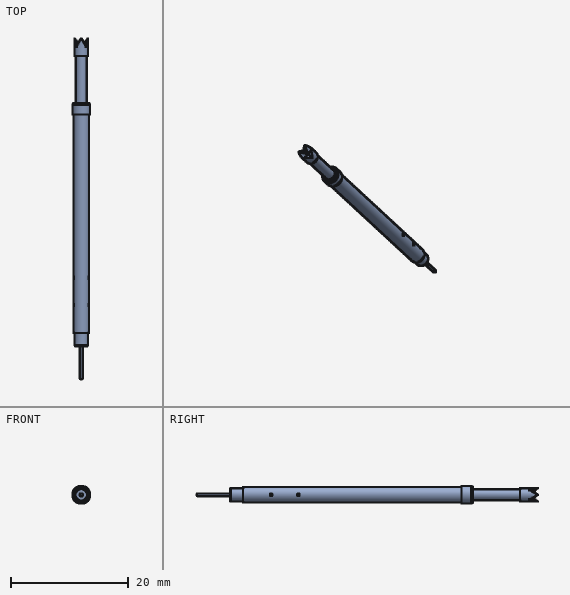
import cadquery as cq
import math


total_length = 57.9
head_end = 3.0
collar_start = 11.0
collar_end = 12.95
body_end = 50.0
plug_end = 52.3

head_diameter = 2.3
shaft_diameter = 1.9
collar_diameter = 3.0
body_diameter = 2.65
plug_diameter = 2.3
pin_diameter = 0.5
pin_dome_height = 0.25

collar_chamfer_length = 0.35
collar_chamfer_height = 0.2
plug_chamfer = 0.2

groove_depth = 1.45
tooth_half_angle = 45
groove_angles = (tooth_half_angle, tooth_half_angle + 90)

dimple_stations = (40.65, 45.3)
dimple_diameter = 0.4
dimple_depth = 0.1


def cylinder(start, end, diameter):
    """Solid cylinder between two stations measured from the tooth tips."""
    face = cq.Workplane("XZ", origin=(0, -start, 0))
    return face.circle(diameter / 2).extrude(end - start)


def crown_groove(angle):
    """V-groove across the tip, turned by the given angle about the probe axis."""
    half_width = head_diameter / 2 * math.sin(math.radians(tooth_half_angle))
    overshoot = 2
    groove = (
        cq.Workplane("XY")
        .moveTo(0, -groove_depth)
        .lineTo(half_width * overshoot, groove_depth * (overshoot - 1))
        .lineTo(-half_width * overshoot, groove_depth * (overshoot - 1))
        .close()
        .extrude(head_diameter, both=True)
    )
    return groove.rotate((0, 0, 0), (0, 1, 0), angle)


def dimple(station, side):
    """Shallow round dimple cutter; side is +1 or -1 along X."""
    floor = body_diameter / 2 - dimple_depth
    plane = cq.Workplane("YZ", origin=(side * floor, -station, 0))
    return plane.circle(dimple_diameter / 2).extrude(side * body_diameter)


head = cylinder(0, head_end, head_diameter)
for groove_angle in groove_angles:
    head = head.cut(crown_groove(groove_angle))

shaft = cylinder(head_end, collar_start, shaft_diameter)
collar = cylinder(collar_start, collar_end, collar_diameter)
collar = collar.faces(">Y").chamfer(collar_chamfer_length, collar_chamfer_height)

body = cylinder(collar_end, body_end, body_diameter)
for dimple_station in dimple_stations:
    for dimple_side in (-1, 1):
        body = body.cut(dimple(dimple_station, dimple_side))

plug = cylinder(body_end, plug_end, plug_diameter).faces("<Y").chamfer(plug_chamfer)
pin_radius = pin_diameter / 2
dome_base = total_length - pin_dome_height
dome_radius = (pin_radius**2 + pin_dome_height**2) / (2 * pin_dome_height)
dome_centre = total_length - dome_radius
dome_half_angle = math.asin(pin_radius / dome_radius) / 2
dome_middle = (
    dome_radius * math.sin(dome_half_angle),
    -dome_centre - dome_radius * math.cos(dome_half_angle),
)
pin = (
    cq.Workplane("XY")
    .moveTo(0, -plug_end)
    .lineTo(pin_radius, -plug_end)
    .lineTo(pin_radius, -dome_base)
    .threePointArc(dome_middle, (0, -total_length))
    .close()
    .revolve(360, (0, 0, 0), (0, 1, 0))
)

result = head.union(shaft).union(collar).union(body).union(plug).union(pin)